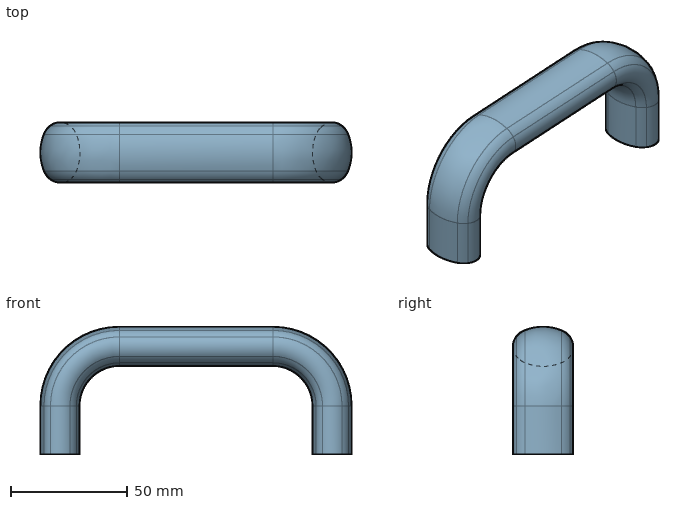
import math

import cadquery as cq

length = 133.9
height = 54.9
leg_height = 20.9

width = 26.0
thickness = 17.0
crown_half_width = 7.9
crown_radius = 20.7
shoulder_radius = 9.0

half_span = (length - thickness) / 2
bend_radius = height - leg_height - thickness / 2
half_grip = half_span - bend_radius

crown_angle = math.asin(crown_half_width / crown_radius)
crown_edge = thickness / 2 - crown_radius * (1 - math.cos(crown_angle))
shoulder_x = crown_edge - shoulder_radius * math.cos(crown_angle)
shoulder_y = crown_half_width - shoulder_radius * math.sin(crown_angle)

side_reach = width / 2 - shoulder_y
side_radius = (shoulder_x**2 + side_reach**2 - shoulder_radius**2) / (2 * (side_reach - shoulder_radius))
side_centre_y = width / 2 - side_radius
side_angle = math.atan2(side_centre_y - shoulder_y, -shoulder_x)
side_half_height = side_radius * math.cos(side_angle)
side_edge = side_centre_y + side_radius * math.sin(side_angle)


def bar_section():
    """Oval of eight tangent arcs in XY, centred on the foot of the left leg."""
    half_thickness = thickness / 2
    half_width = width / 2
    sketch = cq.Workplane("XY").center(-half_span, 0)
    sketch = sketch.moveTo(crown_edge, -crown_half_width)
    for sign in (1, -1):
        crown_end = (sign * crown_edge, sign * crown_half_width)
        side_start = (sign * side_half_height, sign * side_edge)
        side_end = (-sign * side_half_height, sign * side_edge)
        next_crown = (-sign * crown_edge, sign * crown_half_width)
        sketch = sketch.threePointArc((sign * half_thickness, 0), crown_end)
        sketch = sketch.tangentArcPoint(side_start, relative=False)
        sketch = sketch.threePointArc((0, sign * half_width), side_end)
        sketch = sketch.tangentArcPoint(next_crown, relative=False)
    return sketch.close()


def centre_line():
    """Up the left leg, across the grip and down the right leg."""
    grip_z = leg_height + bend_radius
    return (
        cq.Workplane("XZ")
        .moveTo(-half_span, 0)
        .lineTo(-half_span, leg_height)
        .tangentArcPoint((-half_grip, grip_z), relative=False)
        .lineTo(half_grip, grip_z)
        .tangentArcPoint((half_span, leg_height), relative=False)
        .lineTo(half_span, 0)
    )


result = bar_section().sweep(centre_line())